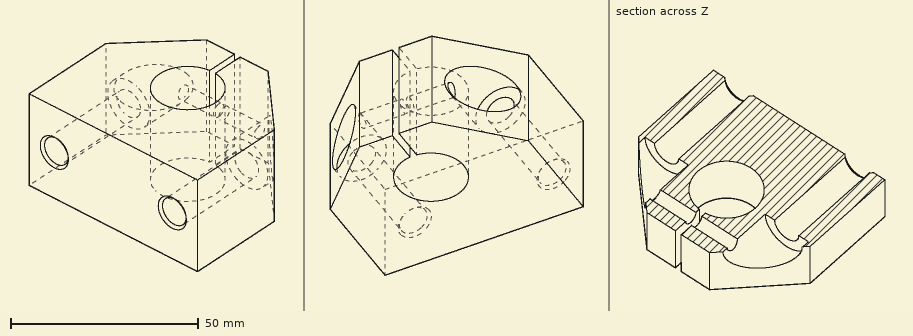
import cadquery as cq

width = 60.0
depth = 50.0
height = 30.0
corner_cut = 19.0

bore_diameter = 20.0
bore_y = 30.0
slit_width = 2.0

mount_spacing = 42.0
mount_diameter = 8.4
countersink_diameter = 10.0
counterbore_diameter = 15.0
seat_y = bore_y

screw_diameter = 4.15
screw_from_rear = 6.4

half_width = width / 2
mid_z = height / 2
corner_x = half_width - corner_cut


def cylinder_along_y(x, diameter, start_y, end_y):
    return cq.Workplane(
        cq.Solid.makeCylinder(
            diameter / 2, end_y - start_y, cq.Vector(x, start_y, mid_z), cq.Vector(0, 1, 0)
        )
    )


def block():
    outline = [
        (-half_width, 0),
        (half_width, 0),
        (half_width, depth - corner_cut),
        (corner_x, depth),
        (-corner_x, depth),
        (-half_width, depth - corner_cut),
    ]
    return cq.Workplane("XY").polyline(outline).close().extrude(height)


def bore_and_slit():
    bore = cq.Workplane("XY").center(0, bore_y).circle(bore_diameter / 2).extrude(height)
    slit_length = depth - bore_y
    slit = (
        cq.Workplane("XY")
        .center(0, bore_y + slit_length / 2)
        .rect(slit_width, slit_length)
        .extrude(height)
    )
    return bore.union(slit)


def mounting_hole(x):
    hole = cylinder_along_y(x, mount_diameter, 0, depth)
    counterbore = cylinder_along_y(x, counterbore_diameter, seat_y, depth)
    countersink_depth = (countersink_diameter - mount_diameter) / 2
    countersink = cq.Workplane(
        cq.Solid.makeCone(
            countersink_diameter / 2,
            mount_diameter / 2,
            countersink_depth,
            cq.Vector(x, 0, mid_z),
            cq.Vector(0, 1, 0),
        )
    )
    return hole.union(counterbore).union(countersink)


def clamp_screw_hole():
    return (
        cq.Workplane("YZ")
        .center(depth - screw_from_rear, mid_z)
        .circle(screw_diameter / 2)
        .extrude(half_width, both=True)
    )


result = block().cut(bore_and_slit()).cut(clamp_screw_hole())
for side in (-1, 1):
    result = result.cut(mounting_hole(side * mount_spacing / 2))